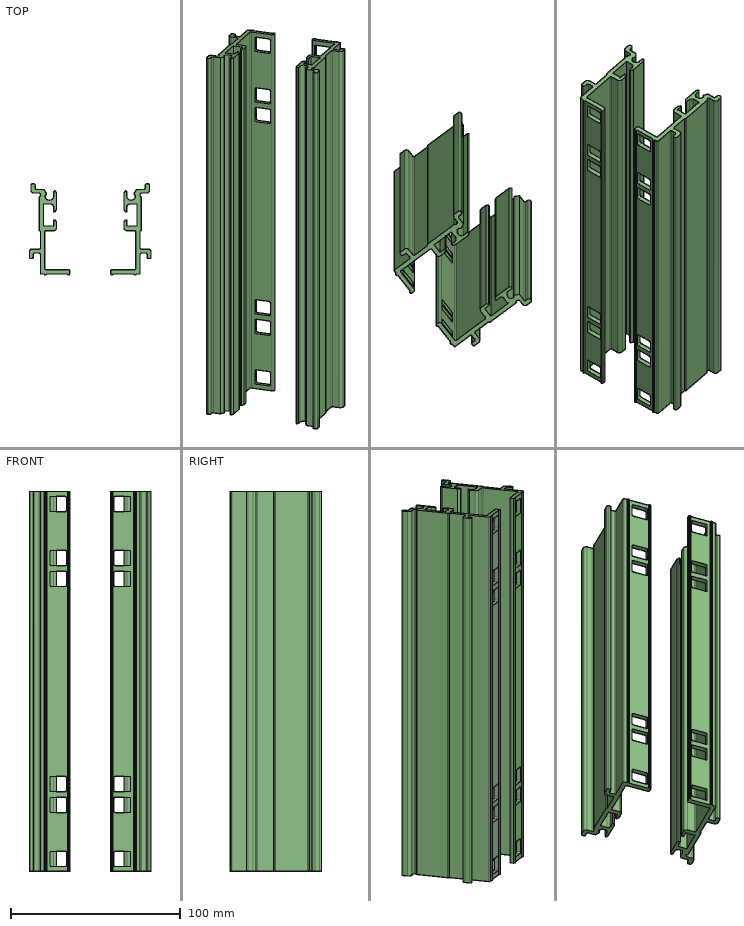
import cadquery as cq
import math

LENGTH = 224.0
WIDTH = 71.9
DEPTH = 54.0

WALL_OUT = 6.5
WALL_IN = 9.2
PAD_OUT = 5.8
PAD_BOTTOM = 25.7
PAD_TOP = 46.8
PAD_BOTTOM_BEVEL = 0.7
PAD_TOP_BEVEL = 1.0
INNER_ROUND = 0.7

FLANGE_BOTTOM = 0.7
FLANGE_TOP = 3.4
FLANGE_END = 24.0
FLANGE_END_ROUND = 1.1
FLANGE_CORNER_ROUND = 0.55
RIDGE_TIP = 0.7
RIDGE_SLOPE = 0.5
CORNER_RIDGE_START = 8.7
END_RIDGE_START = FLANGE_END - RIDGE_TIP - 2 * RIDGE_SLOPE

HOOK_TOP = 15.5
HOOK_THICK = 2.5
HOOK_TIP = 9.9
HOOK_ROUND = 1.8
HOOK_TIP_ROUND = 0.7

CHANNEL_IN = 8.5
CHANNEL_BOTTOM = 29.0
CHANNEL_TOP = 41.9
LIP_IN = 14.3
LIP_OUT = 16.1
LOWER_SHELF_BOTTOM = 26.2
LOWER_LIP_TIP = 32.7
UPPER_LIP_TIP = 37.5
LIP_BEVEL_WIDTH = 1.0
LIP_BEVEL_HEIGHT = 1.3
SHELF_ROUND = 1.8
CHANNEL_ROUND = 1.8

GROOVE_BOTTOM = 44.3
GROOVE_LEFT = 9.5
GROOVE_ROUND = 2.2
POST_TIP = 50.0
POST_BEVEL = 0.7
BULGE_END = 10.3
BULGE_HEIGHT = 48.0
BULGE_ROUND = 0.7
NECK_HEIGHT = 46.8

ARM_BOTTOM = 48.4
ARM_TOP = 50.5
ARM_OUT = 1.0
ARM_END = 8.7
ARM_TIP_WIDTH = 2.7
ARM_TIP_ROUND = 1.1
ARM_ROUND = 1.8

WINDOW_START = 12.0
WINDOW_WIDTH = 9.9
WINDOW_HEIGHT = 9.0
WINDOW_ROUND = 1.0
WINDOW_DEPTH = 2 * FLANGE_TOP
WINDOW_OFFSETS = (60.5, 72.8, 104.5)


def rounded_outline(corners):
    """Closed wire through (u, v, radius) corners; a radius of 0 leaves the corner sharp."""
    bends = []
    for i, (u, v, radius) in enumerate(corners):
        corner = cq.Vector(u, v)
        before = (cq.Vector(*corners[i - 1][:2]) - corner).normalized()
        after = (cq.Vector(*corners[(i + 1) % len(corners)][:2]) - corner).normalized()
        half_angle = before.getAngle(after) / 2
        setback = radius / math.tan(half_angle)
        bisector = (before + after).normalized()
        middle = corner + bisector * (radius / math.sin(half_angle) - radius)
        bends.append((radius, corner + before * setback, middle, corner + after * setback))

    outline = cq.Workplane("XY").moveTo(*bends[0][3].toTuple()[:2])
    for radius, start, middle, end in bends[1:] + bends[:1]:
        outline = outline.lineTo(*start.toTuple()[:2])
        if radius > 0:
            outline = outline.threePointArc(middle.toTuple()[:2], end.toTuple()[:2])
    return outline.close()


def ridge(start):
    """Corners of a ridge that hangs from the flange down to V = 0."""
    tip_start = start + RIDGE_SLOPE
    tip_end = tip_start + RIDGE_TIP
    return [
        (start, FLANGE_BOTTOM, 0),
        (tip_start, 0, 0),
        (tip_end, 0, 0),
        (tip_end + RIDGE_SLOPE, FLANGE_BOTTOM, 0),
    ]


def section_corners():
    """Corners of the rail section, counter-clockwise from the outer flange corner."""
    bevel_edge = LIP_OUT - LIP_BEVEL_WIDTH
    flange = [
        (WALL_OUT, FLANGE_BOTTOM, FLANGE_CORNER_ROUND),
        *ridge(CORNER_RIDGE_START),
        *ridge(END_RIDGE_START),
        (FLANGE_END, FLANGE_TOP, FLANGE_END_ROUND),
        (WALL_IN, FLANGE_TOP, INNER_ROUND),
    ]
    channel = [
        (WALL_IN, LOWER_SHELF_BOTTOM, INNER_ROUND),
        (LIP_OUT, LOWER_SHELF_BOTTOM, SHELF_ROUND),
        (LIP_OUT, LOWER_LIP_TIP - LIP_BEVEL_HEIGHT, 0),
        (bevel_edge, LOWER_LIP_TIP, 0),
        (LIP_IN, LOWER_LIP_TIP, 0),
        (LIP_IN, CHANNEL_BOTTOM, 0),
        (CHANNEL_IN, CHANNEL_BOTTOM, 0),
        (CHANNEL_IN, CHANNEL_TOP, 0),
        (LIP_IN, CHANNEL_TOP, CHANNEL_ROUND),
        (LIP_IN, UPPER_LIP_TIP, 0),
        (bevel_edge, UPPER_LIP_TIP, 0),
        (LIP_OUT, UPPER_LIP_TIP + LIP_BEVEL_HEIGHT, 0),
    ]
    groove = [
        (LIP_OUT, POST_TIP - LIP_BEVEL_HEIGHT, 0),
        (bevel_edge, POST_TIP, 0),
        (LIP_IN + POST_BEVEL, POST_TIP, 0),
        (LIP_IN, POST_TIP - POST_BEVEL, 0),
        (LIP_IN, GROOVE_BOTTOM, GROOVE_ROUND),
        (GROOVE_LEFT, GROOVE_BOTTOM, GROOVE_ROUND),
        (GROOVE_LEFT, NECK_HEIGHT, 0),
        (BULGE_END, BULGE_HEIGHT, BULGE_ROUND),
    ]
    arm = [
        (ARM_END, ARM_TOP, 0),
        (ARM_OUT + ARM_TIP_WIDTH, ARM_TOP, INNER_ROUND),
        (ARM_OUT + ARM_TIP_WIDTH, DEPTH, ARM_TIP_ROUND),
        (ARM_OUT, DEPTH, ARM_TIP_ROUND),
        (ARM_OUT, ARM_BOTTOM, ARM_ROUND),
        (WALL_OUT, ARM_BOTTOM, INNER_ROUND),
    ]
    pad = [
        (WALL_OUT, PAD_TOP, 0),
        (PAD_OUT, PAD_TOP - PAD_TOP_BEVEL, 0),
        (PAD_OUT, PAD_BOTTOM + PAD_BOTTOM_BEVEL, 0),
        (WALL_OUT, PAD_BOTTOM, 0),
    ]
    hook = [
        (WALL_OUT, HOOK_TOP, INNER_ROUND),
        (0, HOOK_TOP, HOOK_ROUND),
        (0, HOOK_TIP, HOOK_TIP_ROUND),
        (HOOK_THICK, HOOK_TIP, HOOK_TIP_ROUND),
        (HOOK_THICK, HOOK_TOP - HOOK_THICK, INNER_ROUND),
        (WALL_OUT, HOOK_TOP - HOOK_THICK, INNER_ROUND),
    ]
    return flange + channel + groove + arm + pad + hook


def window_cutters():
    """Rounded blocks that cut the windows through the flange."""
    centre_u = WINDOW_START + WINDOW_WIDTH / 2
    heights = [LENGTH / 2 + side * offset for side in (-1, 1) for offset in WINDOW_OFFSETS]
    return (
        cq.Workplane("XZ")
        .pushPoints([(centre_u, z) for z in heights])
        .rect(WINDOW_WIDTH, WINDOW_HEIGHT)
        .extrude(-WINDOW_DEPTH)
        .edges("|Y")
        .fillet(WINDOW_ROUND)
    )


def rail(side):
    """One rail; side -1 puts it at -X and side 1 is its mirror image at +X."""
    blank = rounded_outline(section_corners()).extrude(LENGTH)
    placed = blank.cut(window_cutters()).translate((-WIDTH / 2, -DEPTH / 2, -LENGTH / 2))
    return placed if side < 0 else placed.mirror("YZ")


rails = [rail(side) for side in (-1, 1)]

result = cq.Compound.makeCompound([body.val() for body in rails])